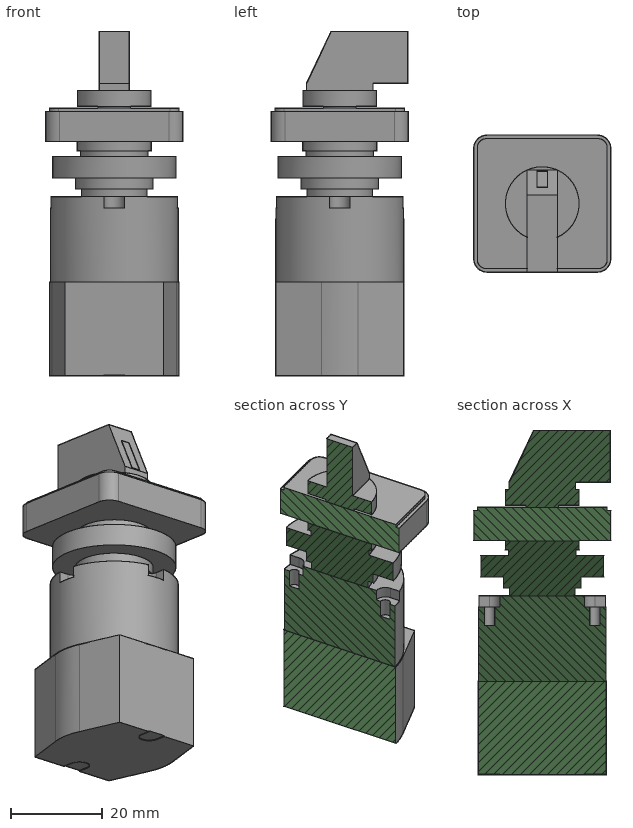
import cadquery as cq
import math


base_top = 20.5
housing_top = 39.2
lower_thread_top = 40.8
collar_top = 43.2
nut_top = 48.0
upper_thread_top = 49.2
plate_bottom = 51.2
rim_top = 57.8
plate_top = 58.5
disc_bottom = 58.9
disc_top = 62.4
stem_top = 63.9
total_height = 75.3

base_depth = 28.0
base_end_radius = 14.2
base_flat_half_length = 10.8
end_flat_angle = math.radians(16.3)

housing_diameter = 28.0
slot_count = 4
slot_width = 4.4
slot_center_radius = 11.5
slot_depth = 2.5
screw_hole_diameter = 2.2
screw_hole_depth = 4.0
base_slot_depth = 0.2

lower_thread_diameter = 14.4
collar_diameter = 17.0
nut_diameter = 27.0
upper_thread_diameter = 14.8
shoulder_diameter = 16.2

plate_size = 30.0
plate_corner_radius = 3.0
plate_step = 0.8
plate_step_corner_radius = 2.0

disc_diameter = 16.1
shaft_diameter = 7.2
lever_width = 6.6
lever_tip_y = -14.9
stem_half_length = 7.3
lever_top_back_y = 1.9

mark_width = 2.2
mark_bottom = 64.2
mark_top = 71.6
mark_depth = 0.1


def cylinder(diameter, bottom, top):
    return cq.Workplane("XY").workplane(offset=bottom).circle(diameter / 2).extrude(top - bottom)


def rounded_square(size, corner_radius, bottom, top):
    block = cq.Workplane("XY").workplane(offset=bottom).rect(size, size).extrude(top - bottom)
    return block.edges("|Z").fillet(corner_radius)


def edge_slots(angles, bottom, depth):
    """Round-ended slots that run out through the wall at the given angles around Z."""
    slots = cq.Workplane("XY")
    run_out = housing_diameter / 2 - slot_center_radius
    for angle in angles:
        round_end = (
            cq.Workplane("XY", origin=(slot_center_radius, 0, bottom))
            .circle(slot_width / 2)
            .extrude(depth)
        )
        channel = cq.Workplane("XY", origin=(slot_center_radius, 0, bottom)).box(
            2 * run_out, slot_width, depth, centered=(False, True, False)
        )
        slots = slots.add(round_end.union(channel).rotate((0, 0, 0), (0, 0, 1), angle))
    return slots.combine()


def make_base():
    half_depth = base_depth / 2
    blend_x = base_end_radius * math.cos(end_flat_angle)
    blend_y = base_end_radius * math.sin(end_flat_angle)
    base = (
        cq.Workplane("XY")
        .moveTo(-base_flat_half_length, -half_depth)
        .lineTo(base_flat_half_length, -half_depth)
        .lineTo(blend_x, -blend_y)
        .threePointArc((base_end_radius, 0), (blend_x, blend_y))
        .lineTo(base_flat_half_length, half_depth)
        .lineTo(-base_flat_half_length, half_depth)
        .lineTo(-blend_x, blend_y)
        .threePointArc((-base_end_radius, 0), (-blend_x, -blend_y))
        .close()
        .extrude(base_top)
    )
    return base.cut(edge_slots([90, 270], 0, base_slot_depth))


def make_housing():
    slot_floor = housing_top - slot_depth
    slot_angles = [360 / slot_count * i for i in range(slot_count)]
    screw_holes = (
        cq.Workplane("XY")
        .workplane(offset=slot_floor)
        .polarArray(slot_center_radius, 0, 360, slot_count)
        .circle(screw_hole_diameter / 2)
        .extrude(-screw_hole_depth)
    )
    housing = cylinder(housing_diameter, base_top, housing_top)
    return housing.cut(edge_slots(slot_angles, slot_floor, slot_depth)).cut(screw_holes)


def make_neck():
    return (
        cylinder(lower_thread_diameter, housing_top, lower_thread_top)
        .union(cylinder(collar_diameter, lower_thread_top, collar_top))
        .union(cylinder(nut_diameter, collar_top, nut_top))
        .union(cylinder(upper_thread_diameter, nut_top, upper_thread_top))
        .union(cylinder(shoulder_diameter, upper_thread_top, plate_bottom))
    )


def make_front_plate():
    rim = rounded_square(plate_size, plate_corner_radius, plate_bottom, rim_top)
    step_size = plate_size - 2 * plate_step
    return rim.union(rounded_square(step_size, plate_step_corner_radius, rim_top, plate_top))


def slope_y(z):
    """Y of the sloping back of the lever at height z."""
    rise = (z - stem_top) / (total_height - stem_top)
    return stem_half_length + rise * (lever_top_back_y - stem_half_length)


def make_handle():
    shaft = cylinder(shaft_diameter, plate_top, disc_bottom)
    disc = cylinder(disc_diameter, disc_bottom, disc_top)
    lever = (
        cq.Workplane("YZ")
        .moveTo(-stem_half_length, disc_top)
        .lineTo(stem_half_length, disc_top)
        .lineTo(stem_half_length, stem_top)
        .lineTo(lever_top_back_y, total_height)
        .lineTo(lever_tip_y, total_height)
        .lineTo(lever_tip_y, stem_top)
        .lineTo(-stem_half_length, stem_top)
        .close()
        .extrude(lever_width / 2, both=True)
    )
    mark = (
        cq.Workplane("YZ")
        .moveTo(slope_y(mark_bottom), mark_bottom)
        .lineTo(slope_y(mark_top), mark_top)
        .lineTo(slope_y(mark_top) - mark_depth, mark_top)
        .lineTo(slope_y(mark_bottom) - mark_depth, mark_bottom)
        .close()
        .extrude(mark_width / 2, both=True)
    )
    return shaft.union(disc).union(lever).cut(mark)


base = make_base()
housing = make_housing()
neck = make_neck()
front_plate = make_front_plate()
handle = make_handle()

result = cq.Compound.makeCompound(
    [base.val(), housing.val(), neck.val(), front_plate.val(), handle.val()]
)